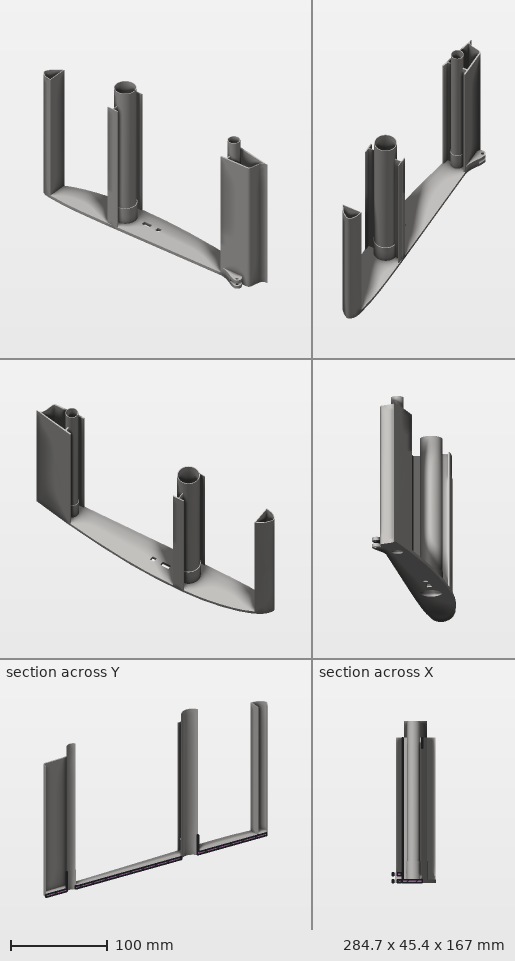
import math

import cadquery as cq

plate_thickness = 3.5
skin_top = 150.0
tube_top = 167.0
collar_top = 22.5

section_length = 284.65
trailing_tip = (section_length, 5.5)
leading_edge = (0.0, -9.7)
upper_points = [
    (1.6, -5.9),
    (5.0, -1.7),
    (14.6, 4.9),
    (35.0, 12.75),
    (65.0, 19.2),
    (98.0, 22.2),
    (119.0, 22.7),
    (140.0, 22.5),
    (190.0, 19.1),
    (240.0, 13.0),
]
lower_points = [
    (1.6, -13.1),
    (5.0, -15.7),
    (14.6, -17.95),
    (35.0, -19.45),
    (65.0, -19.6),
    (98.0, -18.75),
    (140.0, -17.2),
    (190.0, -15.4),
]
flat_start = (251.6, -13.15)
heel = (271.2, -12.3)
heel_round_middle = (273.6, -11.4)
tail_face_bottom = (274.9, -9.2)
tail_face_top = (276.9, 0.0)
tail_hollow_middle = (279.0, 4.0)

thin_wall = 0.8

nose_end = 14.7
nose_cavity_end = nose_end - thin_wall
nose_cavity_top = (nose_cavity_end, 3.5)
nose_cavity_bottom = (nose_cavity_end, -17.0)
nose_cavity_points = [
    (5.5, -2.35),
    (2.2, -6.4),
    (0.8, -9.7),
    (2.1, -12.5),
    (5.2, -14.9),
]

front_spar = (98.6, 1.5)
front_tube_diameter = 23.5
front_tube_bore = 22.0
front_collar_bore = 23.8
front_collar_diameter = 25.4
front_web_x = 97.7
front_flange_width = 13.0
front_flange_inner_top = 20.8
front_flange_inner_bottom = -17.5
lap_face = -18.3

rear_spar = (244.6, -0.4)
rear_tube_diameter = 13.3
rear_tube_bore = 12.0
rear_collar_bore = 13.6
rear_collar_diameter = 14.6
rear_web_thickness = 1.7
tail_start = 237.7
tail_cavity_corners = [
    (tail_start, -11.95),
    (272.9, -10.6),
    (274.2, -8.9),
    (276.3, 0.5),
    (277.9, 4.0),
    (278.7, 5.3),
    (tail_start, 11.65),
]

opening_height = 5.0
opening_y = 4.8
opening_spans = [(119.8, 129.8), (137.6, 142.6)]

lug_top = 3 * plate_thickness
lug_root = (tail_start, -13.64)
lug_curve = [(245.0, -14.9), (252.5, -18.2), (257.0, -20.6)]
lug_eye_center = (263.5, -18.0)
lug_eye_radius = 4.7
lug_eye_start_angle = 240.0
lug_shoulder = (267.4, -15.2)
lug_end = (264.2, -12.66)
pin_center = (264.3, -19.3)
pin_diameter = 3.2
slot_radius = 8.9

far = 2 * section_length


def section(height):
    """Solid wing section standing on Z = 0."""
    skin_points = upper_points[::-1] + [leading_edge] + lower_points + [flat_start]
    return (
        cq.Workplane("XY")
        .moveTo(*heel)
        .threePointArc(heel_round_middle, tail_face_bottom)
        .lineTo(*tail_face_top)
        .threePointArc(tail_hollow_middle, trailing_tip)
        .spline(skin_points, includeCurrent=True)
        .close()
        .extrude(height)
    )


def slab(x_start, x_end, y_start=-far, y_end=far, z_start=plate_thickness, z_end=skin_top):
    """Box given by its limits."""
    return (
        cq.Workplane("XY", origin=(0, 0, z_start))
        .moveTo(x_start, y_start)
        .lineTo(x_end, y_start)
        .lineTo(x_end, y_end)
        .lineTo(x_start, y_end)
        .close()
        .extrude(z_end - z_start)
    )


def cylinder(center, diameter, z_start, z_end):
    base = cq.Workplane("XY", origin=(center[0], center[1], z_start))
    return base.circle(diameter / 2).extrude(z_end - z_start)


def prism_above_plate(outline):
    """Extrude a closed outline from the top of the plate to the top of the skins."""
    return outline.extrude(skin_top - plate_thickness).translate((0, 0, plate_thickness))


def nose_cavity():
    outline = (
        cq.Workplane("XY")
        .moveTo(*nose_cavity_top)
        .spline(nose_cavity_points + [nose_cavity_bottom], includeCurrent=True)
        .close()
    )
    return prism_above_plate(outline)


def front_post_spaces():
    """Open bays beside the front spar, leaving two flanges on a thin web."""
    flange_start = front_web_x - front_flange_width / 2
    flange_end = front_web_x + front_flange_width / 2
    web_start = front_web_x - thin_wall / 2
    web_end = front_web_x + thin_wall / 2
    forward_bay = slab(nose_end, flange_start)
    aft_bay = slab(flange_end, tail_start)
    ahead_of_web = slab(flange_start, web_start, front_flange_inner_bottom, front_flange_inner_top)
    behind_web = slab(web_end, flange_end, front_flange_inner_bottom, front_flange_inner_top)
    lap = slab(flange_start, web_end, y_end=lap_face)
    return [forward_bay, aft_bay, ahead_of_web, behind_web, lap]


def tail_cavity():
    cavity = prism_above_plate(cq.Workplane("XY").polyline(tail_cavity_corners).close())
    web_start = rear_spar[0] - rear_web_thickness / 2
    return cavity.cut(slab(web_start, web_start + rear_web_thickness))


def eye_point(angle):
    """Point on the rounded end of the lug, at an angle in degrees from +X."""
    x = lug_eye_center[0] + lug_eye_radius * math.cos(math.radians(angle))
    y = lug_eye_center[1] + lug_eye_radius * math.sin(math.radians(angle))
    return (x, y)


def hinge_lug():
    eye_start = eye_point(lug_eye_start_angle)
    lug = (
        cq.Workplane("XY")
        .moveTo(*lug_root)
        .spline(lug_curve + [eye_start], includeCurrent=True)
        .threePointArc(eye_point(270.0), eye_point(360.0))
        .threePointArc(lug_shoulder, lug_end)
        .close()
        .extrude(lug_top)
    )
    slot = cylinder(pin_center, 2 * slot_radius, plate_thickness, 2 * plate_thickness)
    pin_hole = cylinder(pin_center, pin_diameter, 0, lug_top)
    return lug.cut(slot).cut(pin_hole)


def add_spar(body, center, tube_diameter, tube_bore, collar_diameter, collar_bore):
    """Stand a tube in the plate with a slightly wider collar around its foot."""
    body = body.union(cylinder(center, collar_diameter, 0, collar_top))
    body = body.cut(cylinder(center, collar_bore, plate_thickness, collar_top))
    body = body.union(cylinder(center, tube_diameter, 0, tube_top))
    return body.cut(cylinder(center, tube_bore, 0, tube_top))


result = section(skin_top)
for space in [nose_cavity()] + front_post_spaces() + [tail_cavity()]:
    result = result.cut(space)
for x_start, x_end in opening_spans:
    y_start = opening_y - opening_height / 2
    result = result.cut(slab(x_start, x_end, y_start, y_start + opening_height, 0, plate_thickness))
result = result.union(hinge_lug())
result = add_spar(
    result,
    front_spar,
    front_tube_diameter,
    front_tube_bore,
    front_collar_diameter,
    front_collar_bore,
)
result = add_spar(
    result,
    rear_spar,
    rear_tube_diameter,
    rear_tube_bore,
    rear_collar_diameter,
    rear_collar_bore,
)